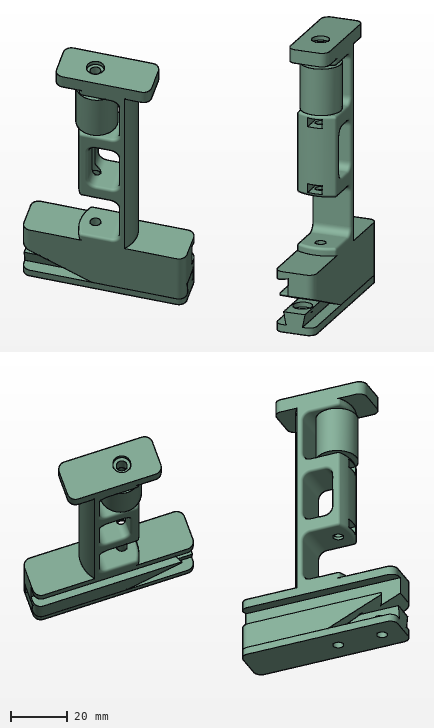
import cadquery as cq
import math

LENGTH = 60.0
DEPTH = 15.0
HEIGHT = 103.0
CORNER_RADIUS = 3.0
MID_Y = DEPTH / 2

FLANGE_HEIGHT = 2.9
BASE_TOP = 23.0
PLATE_THICKNESS = 5.2
PLATE_BOTTOM = HEIGHT - PLATE_THICKNESS

SLOPE_HEIGHT = 14.0
SLOPE_LENGTH = 25.9
LIP_RADIUS = 0.5

DOVETAIL_ANGLE = 11.0
TONGUE_MOUTH = 6.3
TONGUE_HEIGHT = 4.9
GROOVE_MOUTH = 6.8
GROOVE_DEPTH = 5.2
SIDE_GROOVE_Z = 16.1

COLUMN_START = 19.5
COLUMN_END = 40.6
FRONT_BULGE = 2.1
BACK_BULGE = 2.7

POCKET_HEIGHT = 19.4
POCKET_PITCH = 25.0
FIRST_POCKET_BOTTOM = 25.8
POCKET_END = 35.7
WINDOW_START = 24.4
POCKET_RADIUS = 3.0
EDGE_RADIUS = 1.0

PLATE_START = 12.0
PLATE_LENGTH = 35.0

SCREW_X = 25.1
SCREW_DIAMETER = 3.8
HEAD_DIAMETER = 6.4
HEAD_DEPTH = 1.5
SLIDER_SCREW_X = 8.1
SLIDER_HEAD_DIAMETER = 7.0
SLIDER_HEAD_DEPTH = 1.9

NUT_WIDTH = 5.6
NUT_HEIGHT = 3.3

MARGIN = 0.1

ROLLER_X = 25.6
ROLLER_DIAMETER = 15.0
ROLLER_BORE = 5.0
ROLLER_LENGTH = 17.6


def rounded_block(start, length, bottom, height):
    """Full-depth block with rounded vertical corners."""
    block = cq.Workplane("XY").box(length, DEPTH, height, centered=False)
    return block.edges("|Z").fillet(CORNER_RADIUS).translate((start, 0, bottom))


def dovetail(mouth, height):
    """Dovetail bar along X that widens upward from its mouth at Z = 0, centred on Y = 0."""
    half_mouth = mouth / 2
    half_top = half_mouth + height * math.tan(math.radians(DOVETAIL_ANGLE))
    outline = [(-half_mouth, 0), (half_mouth, 0), (half_top, height), (-half_top, height)]
    return cq.Workplane("YZ").polyline(outline).close().extrude(LENGTH)


def upright_cylinder(x, diameter, bottom, top):
    """Cylinder along Z with its axis on the middle plane."""
    circle = cq.Workplane("XY", origin=(x, MID_Y, bottom)).circle(diameter / 2)
    return circle.extrude(top - bottom)


def make_base():
    """Block with a sloped nose, a dovetail groove underneath and another on its back side."""
    base = rounded_block(0, LENGTH, FLANGE_HEIGHT, BASE_TOP - FLANGE_HEIGHT)
    nose_outline = [(0, FLANGE_HEIGHT), (SLOPE_LENGTH, FLANGE_HEIGHT), (0, SLOPE_HEIGHT)]
    nose_cut = cq.Workplane("XZ").polyline(nose_outline).close().extrude(-DEPTH)
    groove = dovetail(GROOVE_MOUTH, GROOVE_DEPTH)
    bottom_groove = groove.translate((0, MID_Y, FLANGE_HEIGHT))
    side_groove = groove.rotate((0, 0, 0), (1, 0, 0), 90).translate((0, DEPTH, SIDE_GROOVE_Z))
    base = base.cut(nose_cut).cut(bottom_groove).cut(side_groove)

    lip_top = SIDE_GROOVE_Z - GROOVE_MOUTH / 2
    lip_zone = cq.selectors.BoxSelector(
        (MARGIN, DEPTH - GROOVE_DEPTH + MARGIN, FLANGE_HEIGHT + GROOVE_DEPTH + MARGIN),
        (SLOPE_LENGTH / 2, DEPTH - MARGIN, lip_top),
    )
    return base.edges(lip_zone).fillet(LIP_RADIUS)


def pocket_bottom(index):
    """Lower level of a pocket, counted upward from 0."""
    return FIRST_POCKET_BOTTOM + index * POCKET_PITCH


def pocket_cutter(start, bottom):
    """Cutter through the depth with rounded corners, from start to the pocket end."""
    block = cq.Workplane("XY").box(POCKET_END - start, DEPTH, POCKET_HEIGHT, centered=False)
    return block.edges("|Y").fillet(POCKET_RADIUS).translate((start, 0, bottom))


def make_column():
    """Column with bulged ends, two open pockets and a window between them."""
    column = (
        cq.Workplane("XY", origin=(0, 0, BASE_TOP))
        .moveTo(COLUMN_START + FRONT_BULGE, 0)
        .lineTo(COLUMN_END - BACK_BULGE, 0)
        .threePointArc((COLUMN_END, MID_Y), (COLUMN_END - BACK_BULGE, DEPTH))
        .lineTo(COLUMN_START + FRONT_BULGE, DEPTH)
        .threePointArc((COLUMN_START, MID_Y), (COLUMN_START + FRONT_BULGE, 0))
        .close()
        .extrude(PLATE_BOTTOM - BASE_TOP)
    )
    open_start = COLUMN_START - 2 * POCKET_RADIUS
    for index, start in enumerate([open_start, WINDOW_START, open_start]):
        column = column.cut(pocket_cutter(start, pocket_bottom(index)))

    edge_zone = cq.selectors.BoxSelector(
        (COLUMN_START - MARGIN, -MARGIN, BASE_TOP + MARGIN),
        (POCKET_END + MARGIN, DEPTH + MARGIN, PLATE_BOTTOM - MARGIN),
    )
    return column.edges(edge_zone).edges("not |Y").fillet(EDGE_RADIUS)


def nut_slot(index):
    """Slot from the bulged side to the screw, halfway up the bar below a pocket."""
    bar_middle = pocket_bottom(index) - (POCKET_PITCH - POCKET_HEIGHT) / 2
    slot_length = SCREW_X + NUT_WIDTH / 2 - COLUMN_START
    slot = cq.Workplane("XY").box(slot_length, NUT_WIDTH, NUT_HEIGHT, centered=(False, True, True))
    return slot.translate((COLUMN_START, MID_Y, bar_middle))


def make_stand():
    """Base, column and top plate in one piece, drilled for the long screw and its nuts."""
    plate = rounded_block(PLATE_START, PLATE_LENGTH, PLATE_BOTTOM, PLATE_THICKNESS)
    stand = make_base().union(make_column()).union(plate)
    for index in (1, 2):
        stand = stand.cut(nut_slot(index))
    stand = stand.cut(upright_cylinder(SCREW_X, SCREW_DIAMETER, 0, HEIGHT))
    return stand.cut(upright_cylinder(SCREW_X, HEAD_DIAMETER, HEIGHT - HEAD_DEPTH, HEIGHT))


def make_slider():
    """Flange with a dovetail tongue that runs in the groove under the stand."""
    flange = rounded_block(0, LENGTH, 0, FLANGE_HEIGHT)
    tongue = dovetail(TONGUE_MOUTH, TONGUE_HEIGHT).translate((0, MID_Y, FLANGE_HEIGHT))
    slider = flange.union(tongue)
    top = FLANGE_HEIGHT + TONGUE_HEIGHT
    for x in (SCREW_X, SLIDER_SCREW_X):
        slider = slider.cut(upright_cylinder(x, SCREW_DIAMETER, 0, top))
    return slider.cut(upright_cylinder(SLIDER_SCREW_X, SLIDER_HEAD_DIAMETER, top - SLIDER_HEAD_DEPTH, top))


def make_roller():
    """Bored cylinder held halfway up the top pocket."""
    bottom = pocket_bottom(2) + (POCKET_HEIGHT - ROLLER_LENGTH) / 2
    top = bottom + ROLLER_LENGTH
    roller = upright_cylinder(ROLLER_X, ROLLER_DIAMETER, bottom, top)
    return roller.cut(upright_cylinder(ROLLER_X, ROLLER_BORE, bottom, top))


stand = make_stand()
slider = make_slider()
roller = make_roller()
result = cq.Compound.makeCompound([stand.val(), slider.val(), roller.val()])